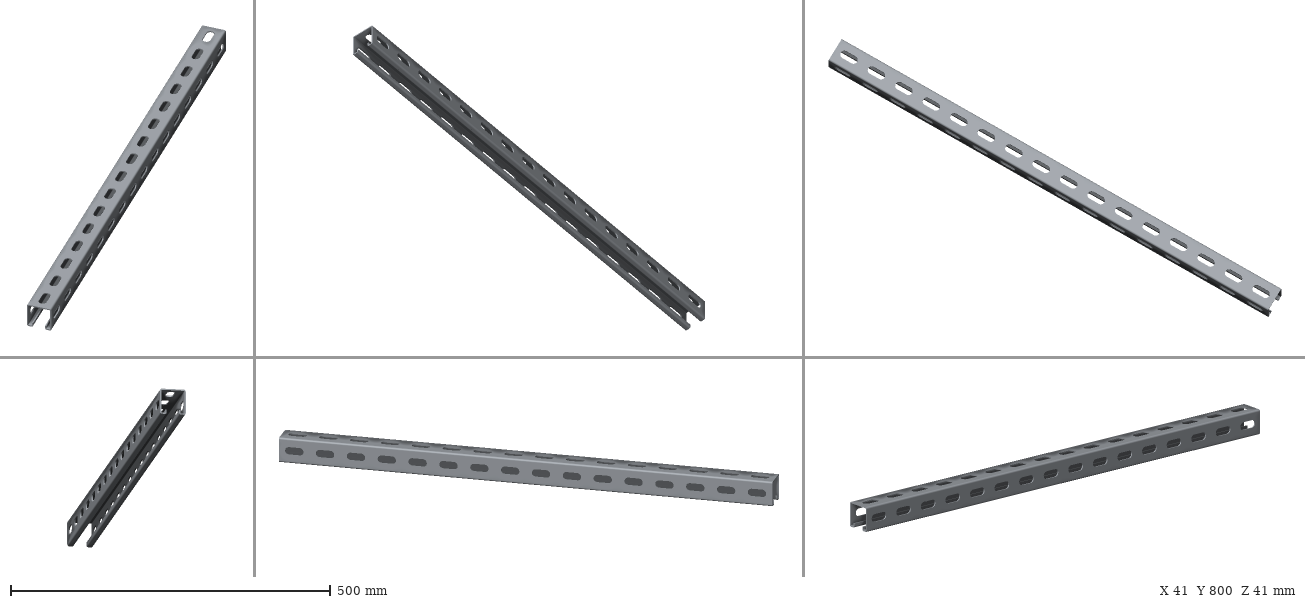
import cadquery as cq
import math

length = 800.0
width = 41.0
height = 41.0
thickness = 2.0
outer_bend_radius = 2.9
inner_bend_radius = outer_bend_radius - thickness
lip_gap = 20.0
lip_height = 7.0

slot_count = 16
slot_pitch = length / slot_count
slot_length = 30.0
slot_width = 13.0

bottom = -height / 2


def rounded_bar(bar_width, bar_height, corner_radius):
    """Full-length bar along Y with its four long edges rounded."""
    return cq.Workplane("XY").box(bar_width, length, bar_height).edges("|Y").fillet(corner_radius)


def make_open_channel():
    """Rounded square tube with the mouth, including the room for the lips, cut from its floor."""
    outer = rounded_bar(width, height, outer_bend_radius)
    cavity = rounded_bar(width - 2 * thickness, height - 2 * thickness, inner_bend_radius)
    mouth_width = lip_gap + 2 * outer_bend_radius
    mouth = cq.Workplane("XY", origin=(0, 0, bottom)).box(mouth_width, length, 2 * thickness)
    return outer.cut(cavity).cut(mouth)


def make_lip(side):
    """Quarter-round bend and upturned strip on one side of the mouth (side is -1 or 1)."""
    lip_face = side * lip_gap / 2
    lip_back = lip_face + side * thickness
    lip_top = bottom + lip_height
    bend_x = lip_face + side * outer_bend_radius
    bend_z = bottom + outer_bend_radius

    def bend_middle(radius):
        offset = radius * math.sqrt(0.5)
        return bend_x - side * offset, bend_z - offset

    return (
        cq.Workplane("XZ")
        .moveTo(bend_x, bottom)
        .threePointArc(bend_middle(outer_bend_radius), (lip_face, bend_z))
        .lineTo(lip_face, lip_top)
        .lineTo(lip_back, lip_top)
        .lineTo(lip_back, bend_z)
        .threePointArc(bend_middle(inner_bend_radius), (bend_x, bottom + thickness))
        .close()
        .extrude(length / 2, both=True)
    )


def slot_row(turn_about_y):
    """Row of round-ended cutters rising from the channel centre, turned about Y to face a wall."""
    return (
        cq.Workplane("XY")
        .rarray(8, slot_pitch, 1, slot_count)
        .slot2D(slot_length, slot_width, 90)
        .extrude(height)
        .rotate((0, 0, 0), (0, 1, 0), turn_about_y)
    )


result = make_open_channel()
for side in (-1, 1):
    result = result.union(make_lip(side))

for wall_angle in (-90, 0, 90):
    result = result.cut(slot_row(wall_angle))